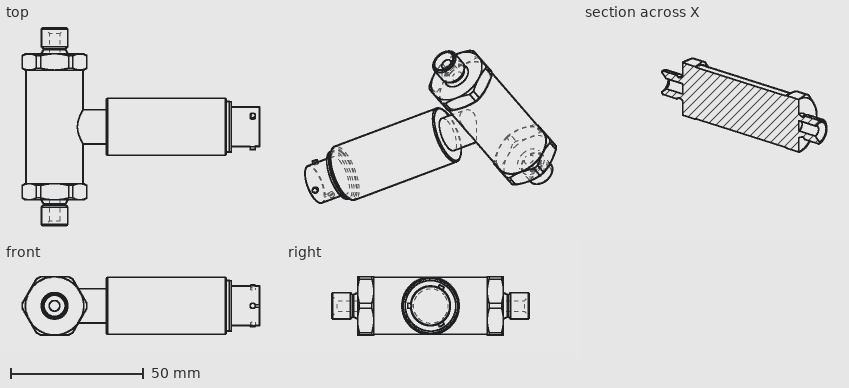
import cadquery as cq
import math


total_length = 74.6
tube_diameter = 21.6
hex_outer_face = 27.5
hex_thickness = 6.1
hex_sides = 6
hex_half_angle = 180 / hex_sides
hex_flats = 22.0
hex_corner_diameter = 24.4
hex_chamfer_angle = 30.0

nipple_diameter = 10.0
nipple_chamfer = 0.5
neck_diameter = 8.5
neck_start = 1.5
neck_width = 0.5
nipple_length = total_length / 2 - hex_outer_face
bore_diameter = 4.0
mouth_diameter = 8.0
mouth_angle = 90.0

total_x = 89.55
branch_diameter = 13.0
housing_diameter = 21.6
housing_start = 19.5
housing_end = 64.75
housing_chamfer = 0.5
flange_diameter = 19.1
flange_middle = 65.75
flange_end = 66.6
flange_tip_diameter = 19.05

shell_diameter = 15.0
shell_end = total_x - hex_corner_diameter / 2
shell_chamfer = 0.2
pin_diameter = 2.0
pin_tip_radius = 8.6
pin_x = 74.7
pin_count = 3
key_slot_diameter = 1.0


def tube():
    """Plain tube between the inner faces of the two hex collars."""
    half_length = hex_outer_face - hex_thickness
    return cq.Workplane("XZ").circle(tube_diameter / 2).extrude(half_length, both=True)


def hex_collar():
    """Hexagon on the -Y end, turned so that its corners are rounded and both faces chamfered."""
    inner = hex_outer_face - hex_thickness
    corner_radius = hex_corner_diameter / 2
    face_radius = hex_flats / 2
    chamfer_width = (corner_radius - face_radius) * math.tan(math.radians(hex_chamfer_angle))
    across_corners = hex_flats / math.cos(math.radians(hex_half_angle))
    inner_plane = cq.Workplane("XZ", origin=(0, -inner, 0))
    prism = inner_plane.polygon(hex_sides, across_corners).extrude(hex_thickness)
    turned = (
        cq.Workplane("XY")
        .moveTo(0, -inner)
        .lineTo(face_radius, -inner)
        .lineTo(corner_radius, -inner - chamfer_width)
        .lineTo(corner_radius, -hex_outer_face + chamfer_width)
        .lineTo(face_radius, -hex_outer_face)
        .lineTo(0, -hex_outer_face)
        .close()
        .revolve(360, (0, 0, 0), (0, 1, 0))
    )
    return prism.intersect(turned)


def nipple():
    """Turned nipple on the -Y end, with a V-shaped neck next to the hex collar."""
    radius = nipple_diameter / 2
    neck_radius = neck_diameter / 2
    tip = hex_outer_face + nipple_length
    neck_near = hex_outer_face + neck_start
    neck_far = neck_near + neck_width
    thread_start = neck_far + radius - neck_radius
    return (
        cq.Workplane("XY")
        .moveTo(0, -hex_outer_face)
        .lineTo(radius, -hex_outer_face)
        .lineTo(neck_radius, -neck_near)
        .lineTo(neck_radius, -neck_far)
        .lineTo(radius, -thread_start)
        .lineTo(radius, -tip + nipple_chamfer)
        .lineTo(radius - nipple_chamfer, -tip)
        .lineTo(0, -tip)
        .close()
        .revolve(360, (0, 0, 0), (0, 1, 0))
    )


def nipple_bore():
    """Cutter for the -Y end: blind bore as deep as the nipple, with a conical mouth."""
    tip = total_length / 2
    bore_radius = bore_diameter / 2
    mouth_radius = mouth_diameter / 2
    mouth_depth = (mouth_radius - bore_radius) / math.tan(math.radians(mouth_angle / 2))
    return (
        cq.Workplane("XY")
        .moveTo(0, -tip)
        .lineTo(mouth_radius, -tip)
        .lineTo(bore_radius, -tip + mouth_depth)
        .lineTo(bore_radius, -tip + nipple_length)
        .lineTo(0, -tip + nipple_length)
        .close()
        .revolve(360, (0, 0, 0), (0, 1, 0))
    )


def x_cylinder(diameter, start, end):
    """Cylinder on the X axis between two X positions."""
    return cq.Workplane("YZ", origin=(start, 0, 0)).circle(diameter / 2).extrude(end - start)


def housing():
    """Branch, chamfered housing, two-step flange and connector shell, all on the X axis."""
    shell = x_cylinder(shell_diameter, flange_end, shell_end).faces(">X").chamfer(shell_chamfer)
    barrel = x_cylinder(housing_diameter, housing_start, housing_end)
    barrel = barrel.edges("%CIRCLE").chamfer(housing_chamfer)
    return (
        x_cylinder(branch_diameter, 0, housing_start)
        .union(barrel)
        .union(x_cylinder(flange_diameter, housing_end, flange_middle))
        .union(x_cylinder(flange_tip_diameter, flange_middle, flange_end))
        .union(shell)
    )


def bayonet_pins():
    """Radial pins spaced evenly round the shell, the first one pointing to -Y."""
    first_pin = cq.Workplane("XZ", origin=(pin_x, 0, 0)).circle(pin_diameter / 2).extrude(pin_tip_radius)
    pins = first_pin
    for index in range(1, pin_count):
        pins = pins.union(first_pin.rotate((0, 0, 0), (1, 0, 0), index * 360 / pin_count))
    return pins


def key_slot():
    """Cutter for the half-round slot from the first pin to the open end of the shell."""
    slot_centre = (pin_x, -shell_diameter / 2, 0)
    slot_length = shell_end - pin_x
    return cq.Workplane("YZ", origin=slot_centre).circle(key_slot_diameter / 2).extrude(slot_length)


end_fitting = hex_collar().union(nipple()).cut(nipple_bore())
result = (
    tube()
    .union(end_fitting)
    .union(end_fitting.mirror("XZ"))
    .union(housing().cut(key_slot()))
    .union(bayonet_pins())
)